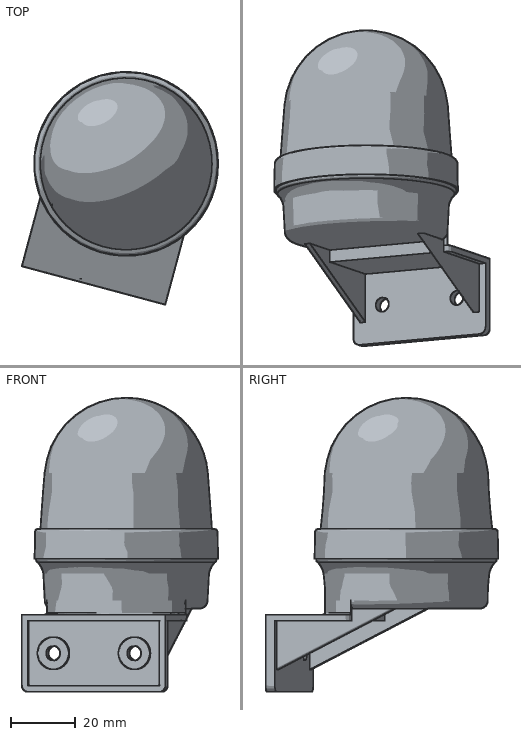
import cadquery as cq
import math

total_height = 91.1

dome_radius = 25.4
dome_base_z = 67.8
lens_bottom_radius = 26.6

ring_bottom_radius = 28.5
ring_top_radius = 28.3
ring_top_z = 50.5
ring_bottom_z = 41.2
ring_top_fillet = 1.1

rim_radius = 28.0
rim_round = 1.0
flare_top_radius = 27.4
flare_top_z = 40.1
flare_curve_radius = 7.3
cup_top_radius = 25.7
cup_top_z = 36.6
cup_bottom_z = 25.8
cup_fillet = 2.55
cup_bottom_radius = 25.2

bracket_turn = -15.0
bracket_width = 46.0
bracket_height = 24.0
bracket_front_y = -39.0
wall_thickness = 3.0
shelf_thickness = 1.9
shelf_back_y = -11.9
shelf_corner_radius = 1.7
foot_corner_radius = 2.0

pad_radius = cup_bottom_radius
pad_top_z = cup_bottom_z + cup_fillet
pad_foot_fillet = 0.55

recess_margin = 1.9
recess_depth = 1.0
recess_corner_radius = 0.5
screw_spacing = 26.0
screw_z = bracket_height / 2
boss_diameter = 10.0
screw_hole_diameter = 4.5

rib_thickness = 2.0
rib_inset = 2.2
rib_back_y = 1.55
rib_foot_z = 6.9
rib_edge_radius = 0.5

wall_back_y = bracket_front_y + wall_thickness
shelf_depth = shelf_back_y - bracket_front_y
shelf_bottom_z = bracket_height - shelf_thickness


def make_lamp():
    """Lens, ring and cup as one turned body."""
    dome_center_z = total_height - dome_radius
    dome_base_radius = math.sqrt(dome_radius**2 - (dome_base_z - dome_center_z) ** 2)
    dome_mid = dome_radius * math.sqrt(0.5)
    profile = (
        cq.Workplane("XZ")
        .moveTo(0, cup_bottom_z)
        .lineTo(cup_bottom_radius - cup_fillet, cup_bottom_z)
        .radiusArc((cup_bottom_radius, cup_bottom_z + cup_fillet), -cup_fillet)
        .lineTo(cup_top_radius, cup_top_z)
        .radiusArc((flare_top_radius, flare_top_z), flare_curve_radius)
        .radiusArc((rim_radius, flare_top_z + rim_round), -rim_round)
        .lineTo(rim_radius, ring_bottom_z)
        .lineTo(ring_bottom_radius, ring_bottom_z)
        .lineTo(ring_top_radius, ring_top_z - ring_top_fillet)
        .radiusArc((ring_top_radius - ring_top_fillet, ring_top_z), -ring_top_fillet)
        .lineTo(lens_bottom_radius, ring_top_z)
        .lineTo(dome_base_radius, dome_base_z)
        .threePointArc((dome_mid, dome_center_z + dome_mid), (0, total_height))
        .close()
    )
    return profile.revolve(360, (0, 0, 0), (0, 1, 0))


def make_pad():
    """Round pad with a flared foot, cut straight along the shelf's back edge."""
    pad = (
        cq.Workplane("XZ")
        .moveTo(0, bracket_height)
        .lineTo(pad_radius + pad_foot_fillet, bracket_height)
        .radiusArc((pad_radius, bracket_height + pad_foot_fillet), pad_foot_fillet)
        .lineTo(pad_radius, pad_top_z)
        .lineTo(0, pad_top_z)
        .close()
        .revolve(360, (0, 0, 0), (0, 1, 0))
    )
    keep = (
        cq.Workplane("XY")
        .box(2 * ring_bottom_radius, shelf_depth, total_height, centered=(True, False, False))
        .translate((0, bracket_front_y, 0))
    )
    return pad.intersect(keep)


def make_shelf():
    """Flat top of the bracket with rounded back corners."""
    shelf = cq.Workplane("XY").box(bracket_width, shelf_depth, shelf_thickness, centered=(True, False, False))
    shelf = shelf.edges("|Z and >Y").fillet(shelf_corner_radius)
    return shelf.translate((0, bracket_front_y, shelf_bottom_z))


def make_wall():
    """Upright wall with a recessed front that leaves the screw bosses standing."""
    wall = (
        cq.Workplane("XY")
        .box(bracket_width, wall_thickness, bracket_height, centered=(True, False, False))
        .translate((0, bracket_front_y, 0))
        .edges("|Y and <Z")
        .fillet(foot_corner_radius)
    )
    recess = (
        cq.Workplane("XY")
        .box(
            bracket_width - 2 * recess_margin,
            recess_depth,
            bracket_height - 2 * recess_margin,
            centered=(True, False, False),
        )
        .translate((0, bracket_front_y, recess_margin))
        .edges("|Y and <Z")
        .fillet(recess_corner_radius)
    )
    screw_places = [(-screw_spacing / 2, screw_z), (screw_spacing / 2, screw_z)]
    front = cq.Workplane("XZ", origin=(0, bracket_front_y, 0)).pushPoints(screw_places)
    bosses = front.circle(boss_diameter / 2).extrude(-recess_depth)
    holes = front.circle(screw_hole_diameter / 2).extrude(-wall_thickness)
    return wall.cut(recess.cut(bosses)).cut(holes)


def make_rib(outer_x):
    """Triangular rib from the wall up to the bottom of the cup, its lower outer edge rounded."""
    rib = (
        cq.Workplane("YZ", origin=(outer_x, 0, 0))
        .moveTo(wall_back_y, rib_foot_z)
        .lineTo(rib_back_y, cup_bottom_z)
        .lineTo(shelf_back_y, cup_bottom_z)
        .lineTo(shelf_back_y, shelf_bottom_z)
        .lineTo(wall_back_y, shelf_bottom_z)
        .close()
        .extrude(-rib_thickness)
    )
    return rib.faces(">X").edges("not (|Y or |Z)").fillet(rib_edge_radius)


right_rib = make_rib(bracket_width / 2 - rib_inset)
left_rib = right_rib.mirror("YZ")
bracket = make_wall().union(make_shelf()).union(make_pad()).union(right_rib).union(left_rib)
bracket = bracket.rotate((0, 0, 0), (0, 0, 1), bracket_turn)

result = make_lamp().union(bracket)